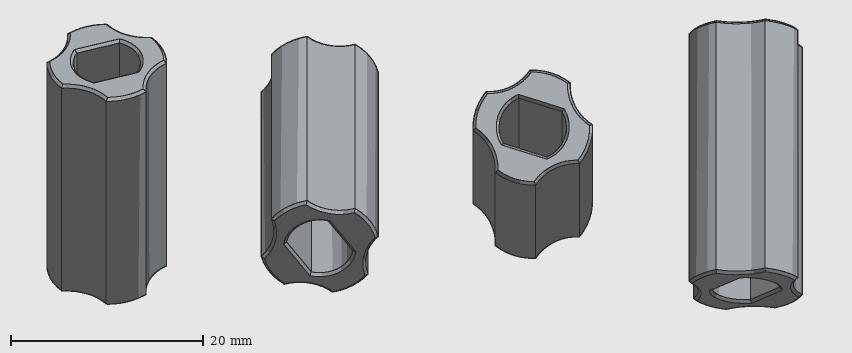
import cadquery as cq
import math

LENGTH = 28.12
OUTER_RADIUS = 12.47 / 2
LOBE_HALF_WIDTH = 2.22
FLUTE_FLOOR_RADIUS = 5.0
BORE_RADIUS = 3.5
BORE_FLAT_WIDTH = 5.15
CHAMFER = 0.3
FLUTE_COUNT = 4
FIRST_FLUTE_ANGLE = 45

LOBE_CORNER_REACH = math.sqrt(OUTER_RADIUS**2 - LOBE_HALF_WIDTH**2)
FLUTE_HALF_CHORD = (LOBE_CORNER_REACH - LOBE_HALF_WIDTH) / math.sqrt(2)
FLUTE_CHORD_DISTANCE = (LOBE_CORNER_REACH + LOBE_HALF_WIDTH) / math.sqrt(2)
FLUTE_DEPTH = FLUTE_CHORD_DISTANCE - FLUTE_FLOOR_RADIUS
FLUTE_RADIUS = (FLUTE_HALF_CHORD**2 + FLUTE_DEPTH**2) / (2 * FLUTE_DEPTH)
FLUTE_CENTER_DISTANCE = FLUTE_FLOOR_RADIUS + FLUTE_RADIUS


def fluted_bar():
    """Round bar with equally spaced lengthwise flutes."""
    bar = cq.Workplane("XY").circle(OUTER_RADIUS).extrude(LENGTH)
    flutes = (
        cq.Workplane("XY")
        .polarArray(FLUTE_CENTER_DISTANCE, FIRST_FLUTE_ANGLE, 360, FLUTE_COUNT)
        .circle(FLUTE_RADIUS)
        .extrude(LENGTH)
    )
    return bar.cut(flutes)


def double_d_bore():
    """Through bore, round along Y, with two flats facing along X."""
    cylinder = cq.Workplane("XY").circle(BORE_RADIUS).extrude(LENGTH)
    slab = cq.Workplane("XY").rect(BORE_FLAT_WIDTH, 2 * BORE_RADIUS).extrude(LENGTH)
    return cylinder.intersect(slab)


def chamfer_ends(part):
    """Chamfer the outer outline and the bore mouth on both end faces."""
    return part.faces("<Z or >Z").edges().chamfer(CHAMFER)


result = chamfer_ends(fluted_bar().cut(double_d_bore()))